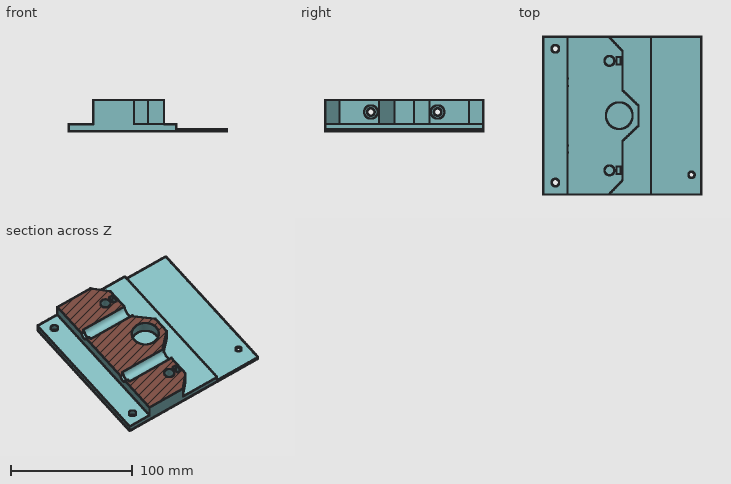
import cadquery as cq

side = 130.0
flange_thickness = 2.0
base_thickness = 6.0
step_x = 88.5
total_height = 26.0
block_height = total_height - base_thickness
mid_y = side / 2

block_back_x = 20.0
block_front_x = 65.3
corner_cut_x = 11.5
corner_cut_y = 12.0
nose_x = 78.5
nose_tip_half_width = 8.0
nose_root_half_width = 20.8

bore_diameter = 22.0
bore_x = 62.5
pin_diameter = 8.0
pin_x = 54.5
pin_offset_y = 45.0
slot_x = 62.0
slot_length_x = 3.4
slot_length_y = 6.2

screw_diameter = 6.0
screw_x = block_back_x / 2
screw_offset_y = 55.0
cross_hole_offset_y = 27.4
cross_hole_z = base_thickness + block_height / 2
counterbore_diameter = 11.0
counterbore_wall = 3.0
flange_hole_diameter = 5.0
flange_hole_x = 122.0
flange_hole_y = 16.4


def mirrored_points(x, offset_y):
    """Two points placed symmetrically about the middle of the part."""
    return [(x, mid_y - offset_y), (x, mid_y + offset_y)]


def make_base():
    flange = cq.Workplane("XY").box(side, side, flange_thickness, centered=False)
    base = cq.Workplane("XY").box(step_x, side, base_thickness, centered=False)
    return flange.union(base)


def make_block():
    outline = [
        (block_back_x, 0),
        (block_front_x - corner_cut_x, 0),
        (block_front_x, corner_cut_y),
        (block_front_x, mid_y - nose_root_half_width),
        (nose_x, mid_y - nose_tip_half_width),
        (nose_x, mid_y + nose_tip_half_width),
        (block_front_x, mid_y + nose_root_half_width),
        (block_front_x, side - corner_cut_y),
        (block_front_x - corner_cut_x, side),
        (block_back_x, side),
    ]
    return cq.Workplane("XY").polyline(outline).close().extrude(total_height)


def make_top_pockets():
    floor = cq.Workplane("XY").workplane(offset=base_thickness)
    bore = floor.center(bore_x, mid_y).circle(bore_diameter / 2).extrude(block_height)
    pins = floor.pushPoints(mirrored_points(pin_x, pin_offset_y)).circle(pin_diameter / 2).extrude(block_height)
    slots = (
        floor.pushPoints(mirrored_points(slot_x, pin_offset_y))
        .rect(slot_length_x, slot_length_y)
        .extrude(block_height)
    )
    return bore.union(pins).union(slots)


def make_vertical_holes():
    bottom = cq.Workplane("XY")
    screws = (
        bottom.pushPoints(mirrored_points(screw_x, screw_offset_y))
        .circle(screw_diameter / 2)
        .extrude(base_thickness)
    )
    flange_hole = (
        bottom.center(flange_hole_x, flange_hole_y)
        .circle(flange_hole_diameter / 2)
        .extrude(flange_thickness)
    )
    return screws.union(flange_hole)


def make_cross_holes():
    """Holes along X through the whole block, counterbored from the +X side."""
    centers = [(mid_y - cross_hole_offset_y, cross_hole_z), (mid_y + cross_hole_offset_y, cross_hole_z)]
    back_face = cq.Workplane("YZ").workplane(offset=block_back_x)
    holes = back_face.pushPoints(centers).circle(screw_diameter / 2).extrude(block_front_x - block_back_x)
    counterbores = (
        back_face.workplane(offset=counterbore_wall)
        .pushPoints(centers)
        .circle(counterbore_diameter / 2)
        .extrude(block_front_x - block_back_x - counterbore_wall)
    )
    return holes.union(counterbores)


result = (
    make_base()
    .union(make_block())
    .cut(make_top_pockets())
    .cut(make_vertical_holes())
    .cut(make_cross_holes())
)